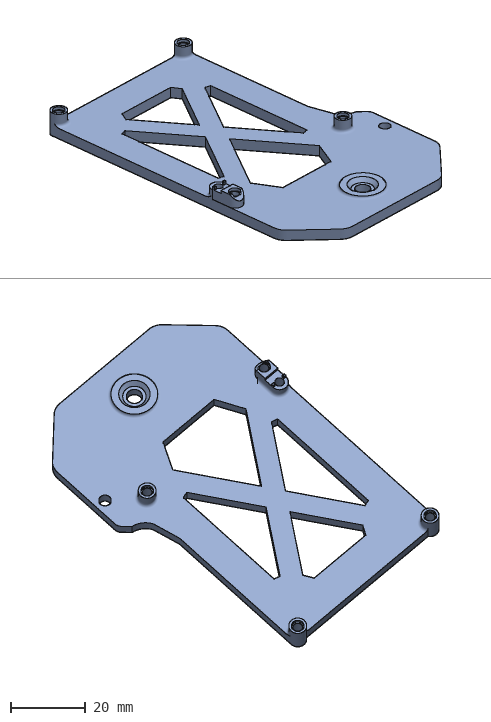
import cadquery as cq
import math

length = 97.7
width = 63.3
plate_thickness = 3.2
post_height = 7.1

post_diameter = 4.8
post_radius = post_diameter / 2
post_hole_diameter = 2.5
post_counterbore_diameter = 3.3
post_counterbore_depth = 0.9
post_fillet = 1.0
post_pitch_x = 58.0
post_pitch_y = 49.2
left_post_x = post_radius
right_post_x = left_post_x + post_pitch_x
front_post_y = post_radius
rear_post_y = front_post_y + post_pitch_y

plate_left = 1.1
left_section_rear = rear_post_y + post_radius
end_chamfer = 12.9
rear_chamfer_width = 13.2
front_setback = 0.07
end_corner_radius = 4.9
step_start_x = 45.4
step_arc_start = (53.5, 55.9)
step_arc_middle = (55.8, 57.85)
step_arc_end = (56.9, 60.6)
ear_corner_radius = 2.4
ear_hole_x = 67.7
ear_hole_y = 60.2
ear_hole_diameter = 3.3

brace_x = 36.4
brace_y = front_post_y + post_pitch_y / 2
side_apex_y = 3.6
side_flank = (18.0, 15.7)
side_outer = (17.5, 17.5)
end_apex_x = 5.5
left_flank = (22.0, 11.1)
left_outer = (24.7, 9.6)
right_flank = (25.6, 13.6)
right_outer = (33.6, 9.5)

seat_x = 85.6
seat_y = 32.1
seat_diameter = 12.5
seat_height = 0.9
seat_hole_diameter = 4.3
countersink_top_diameter = 8.4
countersink_bottom_diameter = 6.3
countersink_depth = 1.3

block_hole_pitch = 6.0
block_hole_x = right_post_x + block_hole_pitch
block_end_drop = 2.0
slot_start_x = 61.1
slot_end_x = 63.5
slot_floor = post_height - post_counterbore_depth


def cylinder(x, y, diameter, bottom, top):
    return cq.Workplane("XY", origin=(x, y, bottom)).circle(diameter / 2).extrude(top - bottom)


def box(x_start, x_end, y_start, y_end, bottom, top):
    return cq.Workplane("XY").box(
        x_end - x_start, y_end - y_start, top - bottom, centered=False
    ).translate((x_start, y_start, bottom))


def make_plate():
    ear_start_x = step_arc_end[0] + width - step_arc_end[1]
    plate = (
        cq.Workplane("XY")
        .moveTo(plate_left, 0)
        .lineTo(length - end_chamfer, 0)
        .lineTo(length, end_chamfer)
        .lineTo(length, width - rear_chamfer_width)
        .lineTo(length - end_chamfer, width)
        .lineTo(ear_start_x, width)
        .lineTo(*step_arc_end)
        .threePointArc(step_arc_middle, step_arc_start)
        .lineTo(step_start_x, left_section_rear)
        .lineTo(plate_left, left_section_rear)
        .close()
        .extrude(plate_thickness)
    )
    end_corners = cq.selectors.BoxSelector(
        (length - end_chamfer - 1, -1, -1), (length + 1, width + 1, plate_thickness + 1)
    )
    plate = plate.edges("|Z").edges(end_corners).fillet(end_corner_radius)
    ear_corner = cq.selectors.NearestToPointSelector((ear_start_x, width, plate_thickness / 2))
    plate = plate.edges("|Z").edges(ear_corner).fillet(ear_corner_radius)

    plate = plate.cut(box(0, right_post_x, 0, front_setback, 0, plate_thickness))
    return cut_left_corners(plate)


def cut_left_corners(body):
    """Clear the outer left corners, where only the round posts remain."""
    for y_start, y_end in ((0, front_post_y), (rear_post_y, left_section_rear)):
        body = body.cut(box(0, left_post_x, y_start, y_end, 0, post_height))
    return body


def make_windows():
    """Four windows, given as offsets from the point where the braces cross."""
    windows = cq.Workplane("XY")
    for side in (-1, 1):
        side_window = [
            (0, side * side_apex_y),
            (side_flank[0], side * side_flank[1]),
            (side_outer[0], side * side_outer[1]),
            (-side_outer[0], side * side_outer[1]),
            (-side_flank[0], side * side_flank[1]),
        ]
        windows = windows.add(window_prism(side_window))
    for direction, flank, outer in ((-1, left_flank, left_outer), (1, right_flank, right_outer)):
        end_window = [
            (direction * end_apex_x, 0),
            (direction * flank[0], flank[1]),
            (direction * outer[0], outer[1]),
            (direction * outer[0], -outer[1]),
            (direction * flank[0], -flank[1]),
        ]
        windows = windows.add(window_prism(end_window))
    return windows.combine()


def window_prism(points):
    return cq.Workplane("XY", origin=(brace_x, brace_y, 0)).polyline(points).close().extrude(plate_thickness)


def base_fillet(x, y, radius, fillet):
    """Concave ring blending a round boss into the top of the plate."""
    arc_middle = fillet * (1 - math.sqrt(0.5))
    return (
        cq.Workplane("XZ", origin=(x, y, plate_thickness))
        .moveTo(0, 0)
        .lineTo(radius + fillet, 0)
        .threePointArc((radius + arc_middle, arc_middle), (radius, fillet))
        .lineTo(0, fillet)
        .close()
        .revolve(360, (0, 0, 0), (0, 1, 0))
    )


def make_post(x, y, top):
    blend = base_fillet(x, y, post_radius, post_fillet)
    rear_limit = left_section_rear if x == left_post_x else width
    plate_area = box(plate_left, length, front_setback, rear_limit, plate_thickness, post_height)
    blend = cut_left_corners(blend.intersect(plate_area))
    return cylinder(x, y, post_diameter, 0, top).union(blend)


def make_block():
    block = box(right_post_x, block_hole_x, 0, post_diameter, 0, post_height)
    block = block.union(cylinder(block_hole_x, front_post_y, post_diameter, 0, post_height))

    end_x = block_hole_x + post_radius
    end_bevel = (
        cq.Workplane("XZ")
        .moveTo(end_x, post_height)
        .lineTo(end_x, post_height - block_end_drop)
        .lineTo(end_x - block_end_drop, post_height)
        .close()
        .extrude(-post_diameter)
    )
    slot = box(slot_start_x, slot_end_x, 0, post_diameter, slot_floor, post_height)
    return block.cut(end_bevel).cut(slot).union(make_block_fillet())


def make_block_fillet():
    """Fillet behind the block, mitred at 45 degrees at its outer end."""
    arc_middle = post_fillet * (1 - math.sqrt(0.5))
    blend = (
        cq.Workplane("YZ", origin=(right_post_x, post_diameter, plate_thickness))
        .lineTo(post_fillet, 0)
        .threePointArc((arc_middle, arc_middle), (0, post_fillet))
        .close()
        .extrude(block_hole_pitch)
    )
    mitre = (
        cq.Workplane("XY", origin=(block_hole_x, post_diameter, plate_thickness))
        .lineTo(-post_fillet, post_fillet)
        .lineTo(0, post_fillet)
        .close()
        .extrude(post_fillet)
    )
    return blend.cut(mitre)


def make_seat():
    top = plate_thickness + seat_height
    seat = cylinder(seat_x, seat_y, seat_diameter, plate_thickness, top)
    return seat.union(base_fillet(seat_x, seat_y, seat_diameter / 2, seat_height))


def make_seat_hole():
    top = plate_thickness + seat_height
    countersink = (
        cq.Workplane("XY", origin=(seat_x, seat_y, top - countersink_depth))
        .circle(countersink_bottom_diameter / 2)
        .workplane(offset=countersink_depth)
        .circle(countersink_top_diameter / 2)
        .loft()
    )
    return cylinder(seat_x, seat_y, seat_hole_diameter, 0, top).union(countersink)


def make_stepped_hole(x, y):
    hole = cylinder(x, y, post_hole_diameter, 0, post_height)
    step = post_height - post_counterbore_depth
    return hole.union(cylinder(x, y, post_counterbore_diameter, step, post_height))


result = make_plate().cut(make_windows())
result = result.cut(cylinder(ear_hole_x, ear_hole_y, ear_hole_diameter, 0, plate_thickness))

posts = (
    (left_post_x, front_post_y, post_height),
    (left_post_x, rear_post_y, post_height),
    (right_post_x, front_post_y, slot_floor),
    (right_post_x, rear_post_y, post_height),
)
for post_x, post_y, post_top in posts:
    result = result.union(make_post(post_x, post_y, post_top))
result = result.union(make_block())

result = result.cut(
    box(right_post_x, length, 0, front_setback, plate_thickness, post_height)
)

result = result.union(make_seat()).cut(make_seat_hole())

for post_x, post_y, _ in posts:
    result = result.cut(make_stepped_hole(post_x, post_y))
result = result.cut(make_stepped_hole(block_hole_x, front_post_y))